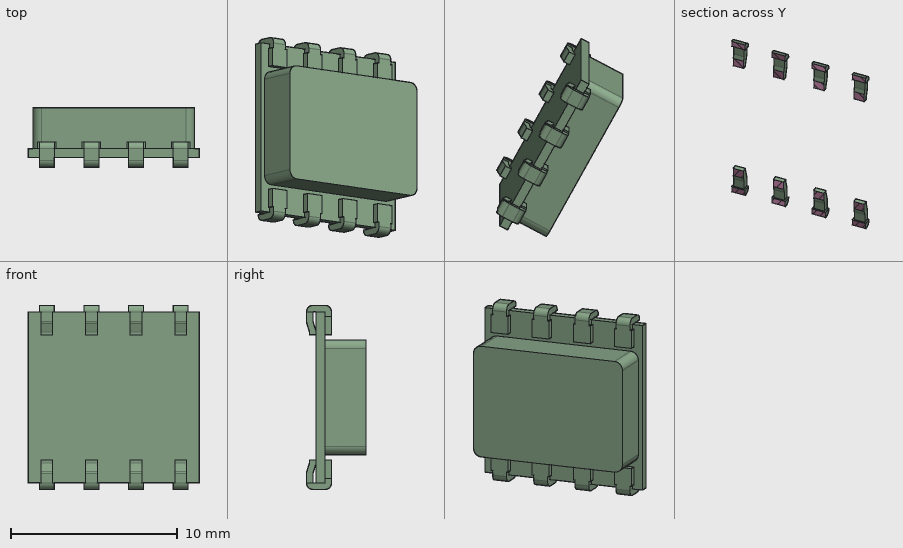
import cadquery as cq
import math

PLATE_SIDE = 10.25
PLATE_THICKNESS = 0.54
HALF_SIDE = PLATE_SIDE / 2

COVER_LENGTH = 9.68
COVER_WIDTH = 6.89
COVER_HEIGHT = 2.46
COVER_CORNER_RADIUS = 0.51

CLIPS_PER_EDGE = 4
CLIP_PITCH = 2.67
CLIP_REACH = 1.38
STRIP = 0.4
BEND_WIDTH = 0.9
PAD_WIDTH = 1.1
FOOT_WIDTH = 0.7
NECK_LENGTH = 0.28
FOOT_GAP = 0.18
FOOT_STRAIGHT = 0.56
FOOT_ANGLE = math.radians(17)


def make_housing():
    """Plate and cover as one body."""
    plate = cq.Workplane("XY").box(
        PLATE_SIDE, PLATE_THICKNESS, PLATE_SIDE, centered=(True, False, True)
    )
    cover = (
        cq.Workplane("XY")
        .box(COVER_LENGTH, COVER_HEIGHT, COVER_WIDTH, centered=(True, False, True))
        .edges("|Y")
        .fillet(COVER_CORNER_RADIUS)
        .translate((0, PLATE_THICKNESS, 0))
    )
    return plate.union(cover)


def clip_layer(width):
    """Sketch plane for a clip profile that is extruded to the given width, centred on X = 0."""
    return cq.Workplane("YZ", origin=(-width / 2, 0, 0))


def make_bend():
    """Bridge over the plate edge with rounded outer corners and a short neck down to the pad."""
    front = -FOOT_GAP - STRIP
    back = PLATE_THICKNESS + STRIP
    top = HALF_SIDE + STRIP
    corner = STRIP * math.sin(math.pi / 4)
    neck_end = HALF_SIDE - NECK_LENGTH
    return (
        clip_layer(BEND_WIDTH)
        .moveTo(front, HALF_SIDE)
        .threePointArc((-FOOT_GAP - corner, HALF_SIDE + corner), (-FOOT_GAP, top))
        .lineTo(PLATE_THICKNESS, top)
        .threePointArc((PLATE_THICKNESS + corner, HALF_SIDE + corner), (back, HALF_SIDE))
        .lineTo(back, neck_end)
        .lineTo(PLATE_THICKNESS, neck_end)
        .lineTo(PLATE_THICKNESS, HALF_SIDE)
        .close()
        .extrude(BEND_WIDTH)
    )


def make_pad():
    """Wide flat end that lies on the back of the plate."""
    return (
        clip_layer(PAD_WIDTH)
        .moveTo(PLATE_THICKNESS, HALF_SIDE - CLIP_REACH)
        .rect(STRIP, CLIP_REACH - NECK_LENGTH, centered=False)
        .extrude(PAD_WIDTH)
    )


def strip_offset(pivot, angle, side):
    """Point across the strip from a bend pivot; side is +1 toward the plate and -1 away from it."""
    y = pivot[0] + side * STRIP * math.cos(angle)
    z = pivot[1] + side * STRIP * math.sin(angle)
    return (y, z)


def make_foot():
    """Narrow leg that runs down, slants in by the foot gap and ends flat against the plate."""
    slant = (FOOT_GAP - STRIP * (1 - math.cos(FOOT_ANGLE))) / math.sin(FOOT_ANGLE)

    upper_pivot = (-FOOT_GAP, HALF_SIDE - FOOT_STRAIGHT)
    upper_arc_start = strip_offset(upper_pivot, 0, -1)
    upper_arc_middle = strip_offset(upper_pivot, FOOT_ANGLE / 2, -1)
    upper_arc_end = strip_offset(upper_pivot, FOOT_ANGLE, -1)

    lower_pivot = (-STRIP, upper_arc_end[1] - slant * math.cos(FOOT_ANGLE))
    lower_arc_start = strip_offset(lower_pivot, 0, 1)
    lower_arc_middle = strip_offset(lower_pivot, FOOT_ANGLE / 2, 1)
    lower_arc_end = strip_offset(lower_pivot, FOOT_ANGLE, 1)

    tip = HALF_SIDE - CLIP_REACH
    return (
        clip_layer(FOOT_WIDTH)
        .moveTo(-FOOT_GAP, HALF_SIDE)
        .lineTo(-FOOT_GAP - STRIP, HALF_SIDE)
        .lineTo(*upper_arc_start)
        .threePointArc(upper_arc_middle, upper_arc_end)
        .lineTo(*lower_pivot)
        .lineTo(-STRIP, tip)
        .lineTo(0, tip)
        .lineTo(*lower_arc_start)
        .threePointArc(lower_arc_middle, lower_arc_end)
        .lineTo(*upper_pivot)
        .close()
        .extrude(FOOT_WIDTH)
    )


def make_clip():
    """One clip on the upper plate edge, centred on X = 0."""
    return make_bend().union(make_pad()).union(make_foot())


def make_clips():
    """Separate clips along the upper edge, each with a mirrored partner on the lower edge."""
    upper_clip = make_clip()
    lower_clip = upper_clip.mirror("XY")
    clips = []
    for index in range(CLIPS_PER_EDGE):
        x = (index - (CLIPS_PER_EDGE - 1) / 2) * CLIP_PITCH
        for clip in (upper_clip, lower_clip):
            clips.append(clip.translate((x, 0, 0)).val())
    return clips


housing = make_housing()
clips = make_clips()

result = cq.Compound.makeCompound([housing.val(), *clips])